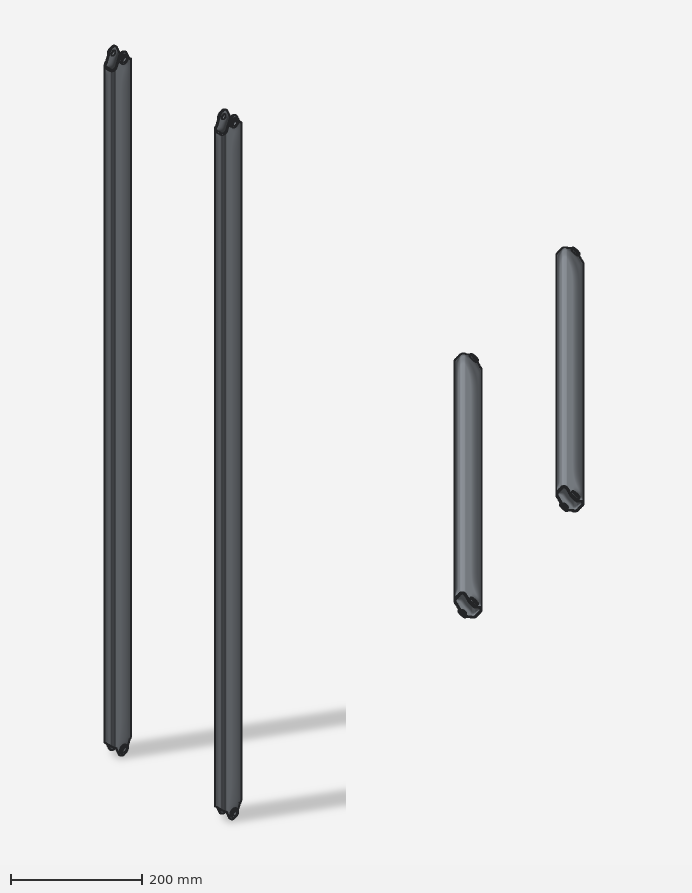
import cadquery as cq
import math

LENGTH = 1372.0
OVERALL_X = 258.0
PITCH = 229.0

BOSS_DIAMETER = 15.0
BORE_DIAMETER = 8.9
BOSS_HEIGHT = 3.3
BOSS_DROP = 12.6

BODY_WIDTH = OVERALL_X - PITCH
TUBE_WIDTH = BODY_WIDTH - 2 * BOSS_HEIGHT
TUBE_DEPTH = 44.0
WALL = 2.2
CORNER_RADIUS = 6.3
INNER_CORNER_RADIUS = CORNER_RADIUS - WALL

TIP_RADIUS = 8.0
FLANK_ANGLE = math.radians(23)
FLANK_DROP = 22.0
SHOULDER_DROP = 27.0

BOSS_LEVELS = (BOSS_DROP, LENGTH - BOSS_DROP)


def rounded_bar(width, depth, radius):
    """Solid bar along Z with rounded long edges."""
    return cq.Workplane("XY").rect(width, depth).extrude(LENGTH).edges("|Z").fillet(radius)


def point_envelope():
    """Side outline with a point at each end, extruded across the tube width."""
    half_depth = TUBE_DEPTH / 2
    tangent_y = TIP_RADIUS * math.cos(FLANK_ANGLE)
    tangent_drop = TIP_RADIUS * (1 - math.sin(FLANK_ANGLE))
    flank_y = tangent_y + (FLANK_DROP - tangent_drop) * math.tan(FLANK_ANGLE)
    return (
        cq.Workplane("YZ")
        .moveTo(half_depth, SHOULDER_DROP)
        .lineTo(half_depth, LENGTH - SHOULDER_DROP)
        .lineTo(flank_y, LENGTH - FLANK_DROP)
        .lineTo(tangent_y, LENGTH - tangent_drop)
        .threePointArc((0, LENGTH), (-tangent_y, LENGTH - tangent_drop))
        .lineTo(-flank_y, LENGTH - FLANK_DROP)
        .lineTo(-half_depth, LENGTH - SHOULDER_DROP)
        .lineTo(-half_depth, SHOULDER_DROP)
        .lineTo(-flank_y, FLANK_DROP)
        .lineTo(-tangent_y, tangent_drop)
        .threePointArc((0, 0), (tangent_y, tangent_drop))
        .lineTo(flank_y, FLANK_DROP)
        .close()
        .extrude(TUBE_WIDTH / 2, both=True)
    )


def cross_cylinders(diameter):
    """One cylinder along X through the whole body at each boss level."""
    return (
        cq.Workplane("YZ")
        .pushPoints([(0, level) for level in BOSS_LEVELS])
        .circle(diameter / 2)
        .extrude(BODY_WIDTH / 2, both=True)
    )


def make_rail():
    """Pointed tube with a bored boss on both faces of every tip."""
    outer = rounded_bar(TUBE_WIDTH, TUBE_DEPTH, CORNER_RADIUS)
    cavity = rounded_bar(TUBE_WIDTH - 2 * WALL, TUBE_DEPTH - 2 * WALL, INNER_CORNER_RADIUS)
    tube = outer.intersect(point_envelope())
    bossed_tube = tube.union(cross_cylinders(BOSS_DIAMETER))
    return bossed_tube.cut(cavity).cut(cross_cylinders(BORE_DIAMETER))


rails = [make_rail().translate((side * PITCH / 2, 0, 0)) for side in (-1, 1)]

result = cq.Compound.makeCompound([rail.val() for rail in rails])